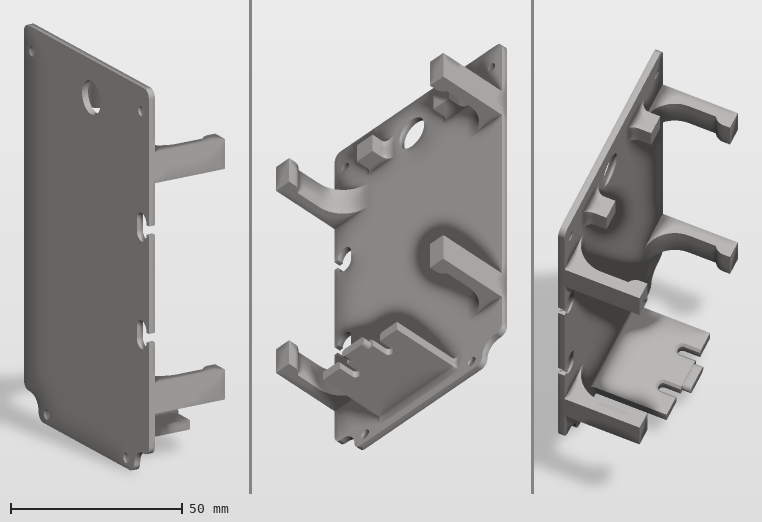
import cadquery as cq
import math

plate_width = 69.9
plate_height = 120.6
plate_thickness = 2.0
corner_radius = 2.5

notch_width = 8.2
notch_height = 7.5
notch_radius = notch_height - corner_radius

top_hole_diameter = 3.0
top_hole_x = 30.5
top_hole_z = 113.0
bottom_hole_diameter = 3.1
bottom_hole_x = 22.2
bottom_hole_z = 3.1
port_diameter = 10.4
port_x = 2.8
port_z = 108.8

cable_slot_width = 5.4
cable_slot_length = 8.8
cable_slot_x = 30.9
cable_slot_heights = (43.9, 77.2)
cable_mouth_width = 2.9

clip_reach = 26.1
clip_height = 9.3
clip_bottoms = (20.3, 91.7)
clip_thickness = 3.7
clip_root_radius = 10.0
hook_width = 5.5
hook_length = 5.3
hook_radius = 3.5

block_size = 6.4
block_x = 15.9
block_bottom = 104.2
block_reach = 8.3
block_root_radius = 2.5

shelf_width = 30.9
shelf_thickness = 3.0
shelf_bottom = 5.1
shelf_reach = 26.0
shelf_root_radius = 1.2
wire_slot_x = 6.9
wire_slot_width = 2.9
wire_slot_depth = 6.4
wire_slot_corner_radius = 1.3
wire_slot_chamfer = 0.7
tab_width = 9.3
tab_thickness = 2.8
tab_reach = 28.7

half_width = plate_width / 2
shelf_top = shelf_bottom + shelf_thickness


def box(x_min, x_max, y_min, y_max, z_min, z_max):
    size = (x_max - x_min, y_max - y_min, z_max - z_min)
    return cq.Workplane("XY").box(*size, centered=False).translate((x_min, y_min, z_min))


def front_plane(y=0):
    """Sketch plane with X right and Z up; a negative extrusion runs toward +Y."""
    return cq.Workplane("XZ", origin=(0, y, 0))


def make_plate():
    foot_half_width = half_width - notch_width
    arc_end_x = foot_half_width + notch_radius
    outline = front_plane().moveTo(0, 0).lineTo(foot_half_width - corner_radius, 0)
    outline = outline.radiusArc((foot_half_width, corner_radius), -corner_radius)
    outline = outline.radiusArc((arc_end_x, notch_height), notch_radius)
    outline = outline.lineTo(half_width - corner_radius, notch_height)
    outline = outline.radiusArc((half_width, notch_height + corner_radius), -corner_radius)
    outline = outline.lineTo(half_width, plate_height - corner_radius)
    outline = outline.radiusArc((half_width - corner_radius, plate_height), -corner_radius)
    outline = outline.lineTo(0, plate_height)
    half_plate = outline.close().extrude(-plate_thickness)
    return half_plate.union(half_plate.mirror("YZ"))


def plate_openings():
    openings = front_plane().center(port_x, port_z).circle(port_diameter / 2).extrude(-plate_thickness)
    hole_pairs = (
        (top_hole_x, top_hole_z, top_hole_diameter),
        (bottom_hole_x, bottom_hole_z, bottom_hole_diameter),
    )
    for x, z, diameter in hole_pairs:
        pair = front_plane().pushPoints([(-x, z), (x, z)]).circle(diameter / 2)
        openings = openings.union(pair.extrude(-plate_thickness))
    for z in cable_slot_heights:
        slot = front_plane().center(cable_slot_x, z).slot2D(cable_slot_length, cable_slot_width, 90)
        openings = openings.union(slot.extrude(-plate_thickness))
        mouth_half = cable_mouth_width / 2
        mouth = box(cable_slot_x, half_width, 0, plate_thickness, z - mouth_half, z + mouth_half)
        openings = openings.union(mouth)
    return openings


def make_clip(bottom):
    """Arm on the -X edge with a wide root fillet and a rounded inward hook at its free end."""
    inner_x = -half_width + clip_thickness
    hook_x = -half_width + hook_width
    hook_arc_length = math.sqrt(hook_radius**2 - (hook_radius - hook_width + clip_thickness) ** 2)
    profile = cq.Workplane("XY", origin=(0, 0, bottom)).moveTo(-half_width, 0)
    profile = profile.lineTo(-half_width, clip_reach).lineTo(hook_x, clip_reach)
    profile = profile.lineTo(hook_x, clip_reach - hook_length + hook_arc_length)
    profile = profile.radiusArc((inner_x, clip_reach - hook_length), hook_radius)
    profile = profile.lineTo(inner_x, plate_thickness + clip_root_radius)
    profile = profile.radiusArc((inner_x + clip_root_radius, plate_thickness), -clip_root_radius)
    profile = profile.lineTo(inner_x + clip_root_radius, 0)
    return profile.close().extrude(clip_height)


def make_rooted_block(width, reach, bottom, top, root_radius):
    """Block centred on X = 0, standing on a pad of the plate with a root fillet all round."""
    half = width / 2
    pad_half = half + 2 * root_radius
    pad = box(-pad_half, pad_half, 0, plate_thickness, bottom - 2 * root_radius, top + 2 * root_radius)
    body = pad.union(box(-half, half, 0, reach, bottom, top))
    root_zone = cq.selectors.BoxSelector(
        (-half - root_radius, plate_thickness / 2, bottom - root_radius),
        (half + root_radius, 1.5 * plate_thickness, top + root_radius),
    )
    return body.edges(root_zone).fillet(root_radius)


def make_block():
    """Block with root fillets on its sides and top; its underside meets the plate squarely."""
    top = block_bottom + block_size
    body = make_rooted_block(block_size, block_reach, block_bottom - block_size, top, block_root_radius)
    kept_zone = box(-block_size, block_size, 0, block_reach, block_bottom, plate_height)
    return body.intersect(kept_zone)


def make_wire_slot(x):
    """Slot through the shelf, open at the free edge, with a chamfered upper rim."""
    length = 2 * wire_slot_depth
    slot = cq.Workplane("XY", origin=(x, shelf_reach, shelf_bottom)).rect(wire_slot_width, length)
    slot = slot.extrude(shelf_thickness).edges("|Z").fillet(wire_slot_corner_radius)
    rim_width = wire_slot_width + 2 * wire_slot_chamfer
    rim = cq.Workplane("XY", origin=(x, shelf_reach, shelf_top))
    rim = rim.sketch().rect(rim_width, length + 2 * wire_slot_chamfer).vertices()
    rim = rim.fillet(wire_slot_corner_radius + wire_slot_chamfer).finalize()
    return slot.union(rim.extrude(-wire_slot_chamfer, taper=45))


def make_shelf():
    shelf = make_rooted_block(shelf_width, shelf_reach, shelf_bottom, shelf_top, shelf_root_radius)
    for x in (-wire_slot_x, wire_slot_x):
        shelf = shelf.cut(make_wire_slot(x))
    return shelf


def make_tab():
    """Round-ended tab on the free edge of the shelf."""
    tab = front_plane(shelf_reach).center(0, shelf_bottom + tab_thickness / 2)
    return tab.slot2D(tab_width, tab_thickness).extrude(shelf_reach - tab_reach)


result = make_plate()
for bottom in clip_bottoms:
    clip = make_clip(bottom)
    result = result.union(clip).union(clip.mirror("YZ"))
for x in (-block_x, block_x):
    result = result.union(make_block().translate((x, 0, 0)))
result = result.union(make_shelf()).union(make_tab()).cut(plate_openings())